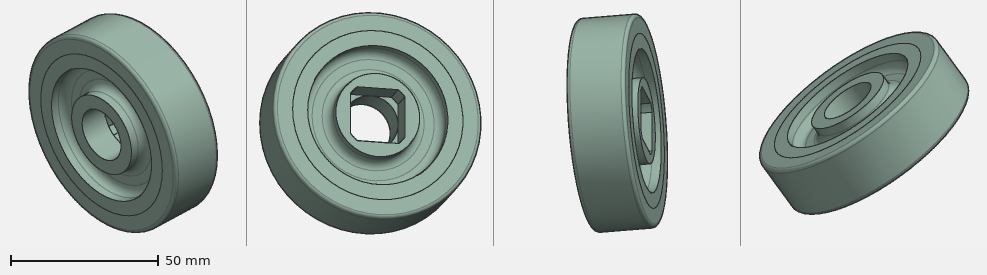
import cadquery as cq

width = 20.32
tire_diameter = 73.03
tire_edge_radius = 1.27

rim_diameter = 59.74
recess_diameter = 49.17
hub_diameter = 29.41
bore_diameter = 19.05

recess_floor_radius = 3.175
recess_depth = 2 * recess_floor_radius

socket_square = bore_diameter
socket_corner_diameter = 23.8125
socket_depth = 9.525

front_y = -width / 2
back_y = width / 2


def disc(diameter, length, start_y):
    """Cylinder on the wheel axis that runs from start_y toward +Y."""
    return cq.Workplane("XZ", origin=(0, start_y, 0)).circle(diameter / 2).extrude(-length)


def make_front_recess():
    """Ring-shaped recess around the hub, rounded where its floor meets both walls."""
    ring = disc(recess_diameter, recess_depth, front_y).cut(disc(hub_diameter, recess_depth, front_y))
    return ring.faces(">Y").edges().fillet(recess_floor_radius)


def make_drive_socket():
    start_y = back_y - socket_depth
    square = (
        cq.Workplane("XZ", origin=(0, start_y, 0))
        .rect(socket_square, socket_square)
        .extrude(-socket_depth)
    )
    return square.intersect(disc(socket_corner_diameter, socket_depth, start_y))


def make_tire():
    blank = disc(tire_diameter, width, front_y).edges().fillet(tire_edge_radius)
    return blank.cut(disc(rim_diameter, width, front_y))


def make_wheel():
    front_recess = make_front_recess()
    back_recess = front_recess.mirror("XZ")
    return (
        disc(rim_diameter, width, front_y)
        .cut(front_recess)
        .cut(back_recess)
        .cut(disc(bore_diameter, width, front_y))
        .cut(make_drive_socket())
    )


tire = make_tire()
wheel = make_wheel()

result = cq.Compound.makeCompound([tire.solids().val(), wheel.solids().val()])